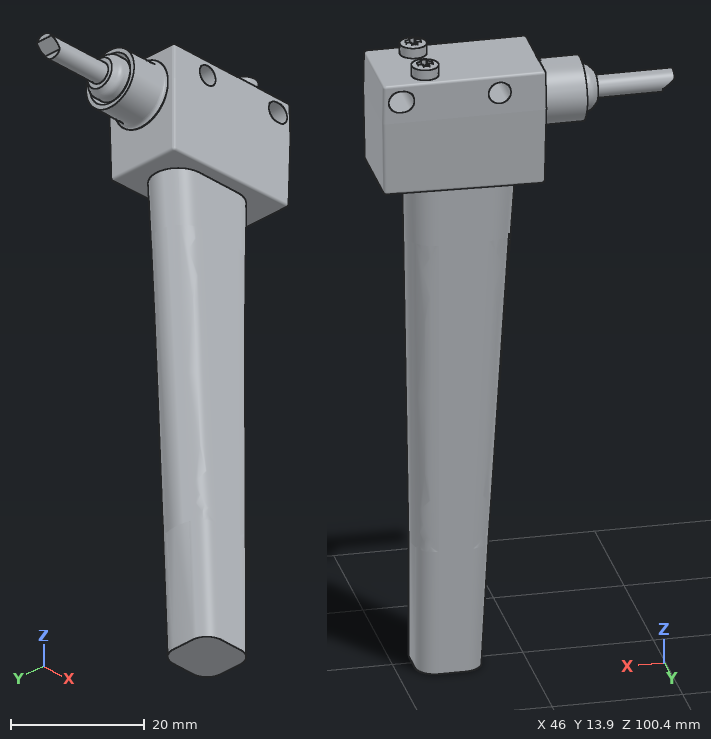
import cadquery as cq
import math


TOTAL_LENGTH = 46.0
TOTAL_HEIGHT = 100.4

HOUSING_LENGTH = 25.2
HOUSING_WIDTH = 13.9
HOUSING_TOP = 98.4
PARTING_Z = 92.2
DRAFT_ANGLE = 1
BOTTOM_TILT = 1.2
HOUSING_FILLET = 0.5

HOLE_DIAMETER = 3.4
HOLE_SPACING = 15.1
INNER_HOLE_X = 7.2
HOLE_Z = 95.6
SLOT_ELONGATION = 0.5

SCREW_X = 18.1
SCREW_SPACING = 8
SCREW_DIAMETER = 4.1
SCREW_DOME_RADIUS = 5.5
CROSS_LENGTH = 2.3
CROSS_WIDTH = 0.9
CROSS_DEPTH = 1

CABLE_AXIS_Z = 92.0
COLLAR_LENGTH = 6.6
COLLAR_RADIUS = 5
COLLAR_BASE_FILLET = 0.6
COLLAR_ROOT = 0.5
RECESS_RADIUS = 4.2
RECESS_DEPTH = 0.6
GROMMET_LENGTH = 2.2
GROMMET_RADIUS = 3.6
GROMMET_CHAMFER = 0.7
GROMMET_ARC_LENGTH = 0.9

CABLE_DIAMETER = 3.5
CABLE_END_X = HOUSING_LENGTH - TOTAL_LENGTH
CABLE_STEP_LENGTH = 1.8
CABLE_STEP_HEIGHT = 1.6

STEM_LENGTH = 80.0
STEM_JOINTS = (20.1, 70.3)
END_WIDTH = 10
END_CORNER_RADIUS = 3
END_LEFT_X = 9
END_RIGHT_X = 19.2
ROOT_WIDTH = 9
ROOT_LEFT_X = 3.4
ROOT_RIGHT_X = 20.6


def make_block():
    """Housing block in two parts that meet at the parting plane."""
    parting = cq.Workplane("XY", origin=(HOUSING_LENGTH / 2, 0, PARTING_Z))
    upper = parting.rect(HOUSING_LENGTH, HOUSING_WIDTH)
    upper = upper.extrude(HOUSING_TOP - PARTING_Z, taper=DRAFT_ANGLE)
    upper = upper.edges("not <Z").fillet(HOUSING_FILLET)

    slope = math.tan(math.radians(BOTTOM_TILT))
    low_z = STEM_LENGTH - ROOT_LEFT_X * slope
    high_z = low_z + HOUSING_LENGTH * slope
    lower = parting.rect(HOUSING_LENGTH, HOUSING_WIDTH).extrude(low_z - PARTING_Z, taper=DRAFT_ANGLE)
    wedge = (
        cq.Workplane("XZ")
        .moveTo(0, low_z)
        .lineTo(HOUSING_LENGTH, high_z)
        .lineTo(HOUSING_LENGTH, low_z)
        .close()
        .extrude(HOUSING_WIDTH / 2, both=True)
    )
    lower = lower.cut(wedge)
    lower = lower.edges("not >Z").fillet(HOUSING_FILLET)
    return upper.union(lower)


def make_mounting_holes():
    """Round hole and slightly elongated hole through the housing along Y."""
    hole = cq.Workplane("XZ", origin=(INNER_HOLE_X, 0, HOLE_Z)).circle(HOLE_DIAMETER / 2)
    hole = hole.extrude(HOUSING_WIDTH, both=True)
    slot = cq.Workplane("XZ", origin=(INNER_HOLE_X + HOLE_SPACING, 0, HOLE_Z))
    slot = slot.slot2D(HOLE_DIAMETER + SLOT_ELONGATION, HOLE_DIAMETER).extrude(HOUSING_WIDTH, both=True)
    return hole.union(slot)


def make_screw_head(y):
    """Domed screw head with a cross recess, standing on the top of the housing."""
    radius = SCREW_DIAMETER / 2
    corner_radius = CROSS_WIDTH * math.sqrt(0.5)
    dome_center = TOTAL_HEIGHT - math.sqrt(SCREW_DOME_RADIUS**2 - corner_radius**2)
    crown_z = dome_center + SCREW_DOME_RADIUS
    rim_z = dome_center + math.sqrt(SCREW_DOME_RADIUS**2 - radius**2)
    head = (
        cq.Workplane("XZ")
        .moveTo(0, HOUSING_TOP)
        .lineTo(radius, HOUSING_TOP)
        .lineTo(radius, rim_z)
        .radiusArc((0, crown_z), -SCREW_DOME_RADIUS)
        .close()
        .revolve(360, (0, 0), (0, 1))
    )
    top = cq.Workplane("XY", origin=(0, 0, crown_z))
    for length, width in ((CROSS_LENGTH, CROSS_WIDTH), (CROSS_WIDTH, CROSS_LENGTH)):
        head = head.cut(top.rect(length, width).extrude(-CROSS_DEPTH))
    return head.translate((SCREW_X, y, 0))


def make_gland():
    """Collar with a flared base, countersunk end and rounded grommet, turned about the cable axis."""
    grommet_x = -COLLAR_LENGTH - GROMMET_LENGTH
    shoulder_radius = GROMMET_ARC_LENGTH * math.sqrt(2)
    chamfer_top = GROMMET_RADIUS - (shoulder_radius - GROMMET_ARC_LENGTH)
    chamfer_end_x = grommet_x + GROMMET_CHAMFER
    profile = (
        cq.Workplane("XY", origin=(0, 0, CABLE_AXIS_Z))
        .moveTo(grommet_x, 0)
        .lineTo(grommet_x, chamfer_top - GROMMET_CHAMFER)
        .lineTo(chamfer_end_x, chamfer_top)
        .radiusArc((chamfer_end_x + GROMMET_ARC_LENGTH, GROMMET_RADIUS), shoulder_radius)
        .lineTo(-COLLAR_LENGTH + RECESS_DEPTH, GROMMET_RADIUS)
        .lineTo(-COLLAR_LENGTH, RECESS_RADIUS)
        .lineTo(-COLLAR_LENGTH, COLLAR_RADIUS)
        .lineTo(-COLLAR_BASE_FILLET, COLLAR_RADIUS)
        .radiusArc((0, COLLAR_RADIUS + COLLAR_BASE_FILLET), -COLLAR_BASE_FILLET)
        .lineTo(COLLAR_ROOT, COLLAR_RADIUS + COLLAR_BASE_FILLET)
        .lineTo(COLLAR_ROOT, 0)
        .close()
    )
    return profile.revolve(360, (0, 0), (1, 0))


def make_cable():
    """Round cable whose free end steps back across a slanted face."""
    radius = CABLE_DIAMETER / 2
    side = (
        cq.Workplane("XZ", origin=(0, 0, CABLE_AXIS_Z))
        .moveTo(-COLLAR_LENGTH, radius)
        .lineTo(CABLE_END_X, radius)
        .lineTo(CABLE_END_X, CABLE_STEP_HEIGHT / 2)
        .lineTo(CABLE_END_X + CABLE_STEP_LENGTH, -CABLE_STEP_HEIGHT / 2)
        .lineTo(CABLE_END_X + CABLE_STEP_LENGTH, -radius)
        .lineTo(-COLLAR_LENGTH, -radius)
        .close()
        .extrude(radius, both=True)
    )
    rod = cq.Workplane("YZ", origin=(CABLE_END_X, 0, CABLE_AXIS_Z)).circle(radius).extrude(-CABLE_END_X)
    return rod.intersect(side)


def make_housing():
    """Housing block with its screw heads, cable gland and cable."""
    housing = make_block().cut(make_mounting_holes())
    for side in (-1, 1):
        housing = housing.union(make_screw_head(side * SCREW_SPACING / 2))
    return housing.union(make_gland()).union(make_cable())


def blend(end_value, root_value, fraction):
    """Value at a fraction of the way from the free end of the stem to its root."""
    return end_value + (root_value - end_value) * fraction


def stem_section(z):
    """Closed outline of the stem at height z: two flat sides joined by rounded noses."""
    fraction = z / STEM_LENGTH
    left = blend(END_LEFT_X, ROOT_LEFT_X, fraction)
    right = blend(END_RIGHT_X, ROOT_RIGHT_X, fraction)
    half_width = blend(END_WIDTH, ROOT_WIDTH, fraction) / 2

    root_radius = ROOT_WIDTH / 2
    slant = math.sqrt(0.5)
    nose_depth = blend(0, root_radius * (1 - slant), fraction)
    nose_half = blend(END_WIDTH / 2 - END_CORNER_RADIUS, root_radius * slant, fraction)
    corner_length = blend(END_CORNER_RADIUS, root_radius, fraction)
    arc_angle = math.radians(45 / 2)
    end_inset = END_CORNER_RADIUS * (1 - slant)
    middle_x = blend(end_inset, root_radius * (1 - math.sin(arc_angle)), fraction)
    middle_y = half_width - blend(end_inset, root_radius * (1 - math.cos(arc_angle)), fraction)

    outline = cq.Workplane("XY", origin=(0, 0, z)).moveTo(left + corner_length, -half_width)
    for tip, inward, side in ((right, -1, 1), (left, 1, -1)):
        nose_x = tip + inward * nose_depth
        corner_x = tip + inward * corner_length
        arc_x = tip + inward * middle_x
        outline = outline.lineTo(corner_x, -side * half_width)
        outline = outline.threePointArc((arc_x, -side * middle_y), (nose_x, -side * nose_half))
        if nose_depth > 0:
            outline = outline.threePointArc((tip, 0), (nose_x, side * nose_half))
        else:
            outline = outline.lineTo(tip, side * nose_half)
        outline = outline.threePointArc((arc_x, side * middle_y), (corner_x, side * half_width))
    return outline.wire().val()


def make_stem():
    """Tapered stem lofted in straight-sided stretches between its joints."""
    heights = (0, *STEM_JOINTS, STEM_LENGTH)
    return cq.Workplane(cq.Solid.makeLoft([stem_section(z) for z in heights], True))


housing = make_housing()
stem = make_stem()
result = cq.Compound.makeCompound([housing.val(), stem.val()])